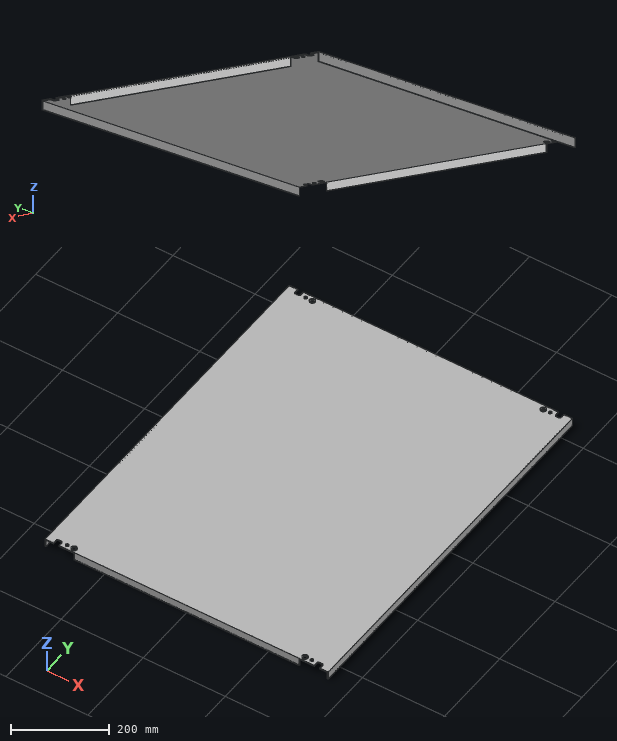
import cadquery as cq

LENGTH = 885.0
WIDTH = 690.0
HEIGHT = 20.0
SHEET = 2.5

END_FLANGE_INSET = 71.0
END_FLANGE_LENGTH = WIDTH - 2 * END_FLANGE_INSET

NOTCH_INSET = 27.0
NOTCH_WIDTH = 13.0
NOTCH_DEPTH = 13.0
NOTCH_CORNER_RADIUS = 3.0

HOLE_END_INSET = 11.0
PLAIN_HOLE_INSET = 47.0
BORED_HOLE_INSET = 64.0
HOLE_DIAMETER = 7.0
COUNTERBORE_DIAMETER = 13.0
COUNTERBORE_DEPTH = SHEET / 2


def corner_points(side_inset, end_inset):
    """One point near each panel corner, inset from the side and end edges."""
    x = WIDTH / 2 - side_inset
    y = LENGTH / 2 - end_inset
    return [(-x, -y), (x, -y), (-x, y), (x, y)]


def flange(length_x, length_y, x, y):
    """Upright strip over the full height, centred at (x, y)."""
    return cq.Workplane("XY").center(x, y).rect(length_x, length_y).extrude(HEIGHT)


def flanged_panel(top):
    """Top sheet with full-length side flanges and shortened end flanges."""
    panel = top.rect(WIDTH, LENGTH).extrude(-SHEET)
    side_x = (WIDTH - SHEET) / 2
    end_y = (LENGTH - SHEET) / 2
    for side in (-1, 1):
        panel = panel.union(flange(SHEET, LENGTH, side * side_x, 0))
        panel = panel.union(flange(END_FLANGE_LENGTH, SHEET, 0, side * end_y))
    return panel


def notches(top):
    """Round-cornered cutters, centred on the end edges so the inner half cuts the sheet."""
    outline = top.pushPoints(corner_points(NOTCH_INSET, 0)).rect(NOTCH_WIDTH, 2 * NOTCH_DEPTH)
    return outline.extrude(-SHEET).edges("|Z").fillet(NOTCH_CORNER_RADIUS)


def holes(top, side_inset, diameter, depth):
    """Round cutters near the four corners, from the top face down."""
    centers = corner_points(side_inset, HOLE_END_INSET)
    return top.pushPoints(centers).circle(diameter / 2).extrude(-depth)


top_face = cq.Workplane("XY").workplane(offset=HEIGHT)

result = flanged_panel(top_face)
result = result.cut(notches(top_face))
result = result.cut(holes(top_face, PLAIN_HOLE_INSET, HOLE_DIAMETER, SHEET))
result = result.cut(holes(top_face, BORED_HOLE_INSET, HOLE_DIAMETER, SHEET))
result = result.cut(holes(top_face, BORED_HOLE_INSET, COUNTERBORE_DIAMETER, COUNTERBORE_DEPTH))